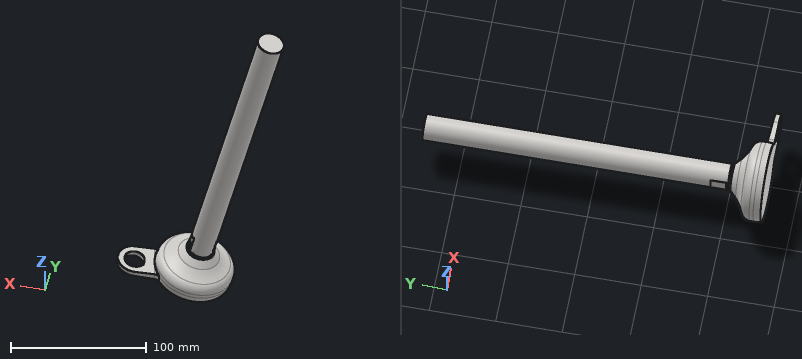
import cadquery as cq
import math

TOTAL_LENGTH = 258.0

FOOT_DIAMETER = 60.0
FOOT_RADIUS = FOOT_DIAMETER / 2
SOLE_RADIUS = 29.5
TAPER_TOP = 5.5
RIM_TOP = 8.5
SHOULDER_RADIUS = 25.3
SHOULDER_Y = 15.5
CONE_BASE_RADIUS = 15.7
CONE_BASE_Y = 21.2
FOOT_TOP_RADIUS = 10.5
FOOT_TOP_Y = 26.3

TAB_HALF_WIDTH = 13.0
TAB_HOLE_X = 45.0
TAB_HOLE_DIAMETER = 15.0
TAB_ROOT_THICKNESS = 5.5
TAB_TIP_THICKNESS = 4.0
TAB_FILLET = 5.5

ROD_RADIUS = 10.0
NECK_RADIUS = 9.0
NECK_LENGTH = 1.8
FLAT_START_Y = 29.7
FLAT_LENGTH = 11.5
FLAT_DISTANCE = 8.5


def make_foot_body():
    """Turned foot: tapered rim, rounded shoulder, concave flare and cone."""
    profile = (
        cq.Workplane("XY")
        .lineTo(SOLE_RADIUS, 0)
        .lineTo(FOOT_RADIUS, TAPER_TOP)
        .lineTo(FOOT_RADIUS, RIM_TOP)
        .tangentArcPoint((SHOULDER_RADIUS, SHOULDER_Y), relative=False)
        .tangentArcPoint((CONE_BASE_RADIUS, CONE_BASE_Y), relative=False)
        .lineTo(FOOT_TOP_RADIUS, FOOT_TOP_Y)
        .lineTo(0, FOOT_TOP_Y)
        .close()
    )
    return profile.revolve(360, (0, 0, 0), (0, 1, 0))


def make_tab():
    """Tab with a round end, filleted into the rim and thinning to its tip."""
    tip_x = TAB_HOLE_X + TAB_HALF_WIDTH
    center_z = TAB_HALF_WIDTH + TAB_FILLET
    center_distance = SOLE_RADIUS + TAB_FILLET
    center_x = math.sqrt(center_distance**2 - center_z**2)
    rim_x = center_x * SOLE_RADIUS / center_distance
    rim_z = center_z * SOLE_RADIUS / center_distance
    rim_direction = math.atan2(center_z, center_x) - math.pi
    side_direction = -math.pi / 2
    middle_angle = (rim_direction + side_direction) / 2
    middle_x = center_x + TAB_FILLET * math.cos(middle_angle)
    middle_z = center_z + TAB_FILLET * math.sin(middle_angle)

    outline = (
        cq.Workplane("XZ")
        .lineTo(rim_x, -rim_z)
        .threePointArc((middle_x, -middle_z), (center_x, -TAB_HALF_WIDTH))
        .lineTo(TAB_HOLE_X, -TAB_HALF_WIDTH)
        .threePointArc((tip_x, 0), (TAB_HOLE_X, TAB_HALF_WIDTH))
        .lineTo(center_x, TAB_HALF_WIDTH)
        .threePointArc((middle_x, middle_z), (rim_x, rim_z))
        .close()
        .extrude(-TAB_ROOT_THICKNESS)
    )
    wedge = (
        cq.Workplane("XY")
        .polyline([
            (0, 0),
            (tip_x, 0),
            (tip_x, TAB_TIP_THICKNESS),
            (FOOT_RADIUS, TAB_ROOT_THICKNESS),
            (0, TAB_ROOT_THICKNESS),
        ])
        .close()
        .extrude(SOLE_RADIUS, both=True)
    )
    hole = (
        cq.Workplane("XZ")
        .center(TAB_HOLE_X, 0)
        .circle(TAB_HOLE_DIAMETER / 2)
        .extrude(-TAB_ROOT_THICKNESS)
    )
    return outline.intersect(wedge).cut(hole)


def make_foot():
    return make_foot_body().union(make_tab())


def make_rod():
    """Round rod on a short neck, with two opposite wrench flats."""
    shaft_start = FOOT_TOP_Y + NECK_LENGTH
    rod = (
        cq.Workplane("XY")
        .moveTo(0, FOOT_TOP_Y)
        .lineTo(NECK_RADIUS, FOOT_TOP_Y)
        .lineTo(NECK_RADIUS, shaft_start)
        .lineTo(ROD_RADIUS, shaft_start)
        .lineTo(ROD_RADIUS, TOTAL_LENGTH)
        .lineTo(0, TOTAL_LENGTH)
        .close()
        .revolve(360, (0, 0, 0), (0, 1, 0))
    )
    flat_depth = ROD_RADIUS - FLAT_DISTANCE
    for side in (-1, 1):
        flat_cutter = cq.Workplane("XY").box(flat_depth, FLAT_LENGTH, 2 * ROD_RADIUS).translate(
            (side * (FLAT_DISTANCE + flat_depth / 2), FLAT_START_Y + FLAT_LENGTH / 2, 0)
        )
        rod = rod.cut(flat_cutter)
    return rod


foot = make_foot()
rod = make_rod()
result = cq.Compound.makeCompound([foot.val(), rod.val()])